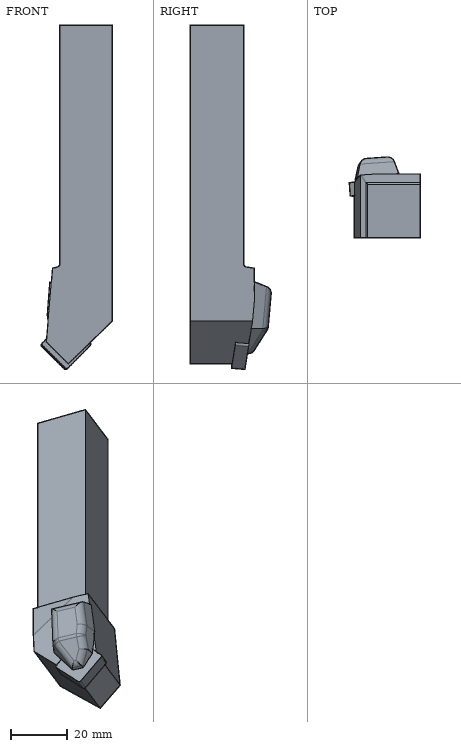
import cadquery as cq

shank_width = 18.8
shank_depth = 19.1
tool_length = 122.6

ledge_z = 37.3
ledge_drop = 0.6
ledge_slope_drop = 0.5
ledge_foot = 0.6
head_overhang = 2.6
head_back_y = 22.8
flank_corner = (-4.8, 9.9)
nose_corner = (3.1, 2.1)
heel_z = 17.3

rake_point = (-4.8, 20.0, 11.0)
rake_x = 0.07
rake_z = 0.09
rake_normal = cq.Vector(-rake_x, 1, -rake_z)

insert_side = 12.8
insert_thickness = 4.8
insert_corner_radius = 0.7
insert_turn = 45.0
insert_center = (2.1, 8.7)

clamp_outline = [
    (-3.4, 31.4), (-4.4, 19.6), (-3.2, 10.7), (0.5, 5.5),
    (4.4, 5.5), (11.3, 14.7), (11.3, 31.4),
]
clamp_height = 6.6
clamp_draft = 16.0
clamp_edge_radius = 3.0
nose_slope_start = 15.3
nose_slope_end = 5.5
nose_height = 2.0


def rake_y(x, z):
    """Y of the rake plane at a given X and Z."""
    return rake_point[1] + rake_x * (x - rake_point[0]) + rake_z * (z - rake_point[2])


def rake_workplane(x, z):
    """Workplane on the rake plane; local x runs along +X and local y runs down."""
    return cq.Workplane(cq.Plane(
        origin=(x, rake_y(x, z), z),
        xDir=(1, rake_x, 0),
        normal=rake_normal,
    ))


def make_insert():
    """Square plate with rounded corners, its back face on the rake plane."""
    return (
        rake_workplane(*insert_center)
        .transformed(rotate=(0, 0, insert_turn))
        .rect(insert_side, insert_side)
        .extrude(-insert_thickness)
        .edges(cq.selectors.ParallelDirSelector(rake_normal))
        .fillet(insert_corner_radius)
    )


def ledge_profile(overhang):
    """Points of a sloping ledge as (distance out from the shank, Z)."""
    foot_z = ledge_z - ledge_drop
    return [(0, ledge_z), (ledge_foot, foot_z), (overhang, foot_z - ledge_slope_drop)]


def make_head():
    """Pointed head, limited behind by the sloping back ledge and the rake plane."""
    flank_ledge = [(-out, z) for out, z in ledge_profile(head_overhang)]
    outline = [(shank_width, ledge_z), *flank_ledge, flank_corner, nose_corner, (shank_width, heel_z)]
    head = cq.Workplane("XZ").polyline(outline).close().extrude(-head_back_y)

    back_ledge = [
        (shank_depth + out, z) for out, z in ledge_profile(head_back_y - shank_depth)
    ]
    side_limit = (
        cq.Workplane("YZ", origin=(flank_corner[0], 0, 0))
        .polyline([(0, 0), (0, ledge_z), *back_ledge, (head_back_y, 0)])
        .close()
        .extrude(shank_width - flank_corner[0])
    )
    behind_rake = rake_workplane(*insert_center).rect(tool_length, tool_length).extrude(tool_length)
    return head.intersect(side_limit).cut(behind_rake)


def make_clamp():
    """Drafted, round-edged block, built flat and then laid on the rake plane."""
    center_x, center_z = insert_center
    local_outline = [(x - center_x, center_z - z) for x, z in clamp_outline]
    block = cq.Workplane("XY").polyline(local_outline).close().extrude(clamp_height, taper=clamp_draft)
    slope_start = center_z - nose_slope_start
    slope_end = center_z - nose_slope_end
    nose_cut = (
        cq.Workplane("YZ")
        .polyline([
            (slope_start, clamp_height),
            (slope_end, nose_height),
            (slope_end, clamp_height),
        ])
        .close()
        .extrude(shank_width, both=True)
    )
    block = block.cut(nose_cut)
    slope_normal = cq.Vector(0, clamp_height - nose_height, slope_end - slope_start)
    slope_side = cq.selectors.ParallelDirSelector(slope_normal)
    block = block.faces(slope_side).edges().add(block.faces(">Z").edges()).fillet(clamp_edge_radius)
    seat = rake_workplane(center_x, center_z).plane
    return cq.Workplane(block.val().moved(cq.Location(seat)))


def make_holder(insert):
    """Shank, head and clamp as one body, with a pocket that fits the insert."""
    shank = (
        cq.Workplane("XY", origin=(0, 0, ledge_z))
        .rect(shank_width, shank_depth, centered=False)
        .extrude(tool_length - ledge_z)
    )
    return shank.union(make_head()).cut(insert).union(make_clamp())


insert = make_insert()
holder = make_holder(insert)
result = cq.Compound.makeCompound([holder.val(), insert.val()])